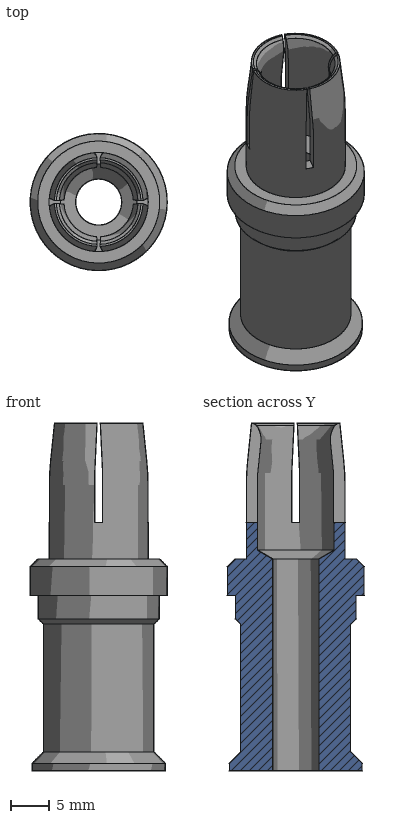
import cadquery as cq
import math

TOTAL_HEIGHT = 45.6
FOOT_RIM_HEIGHT = 1.0
SHOULDER_TOP = 23.0
COLLAR_TOP = 27.8
SLOT_FLOOR = 32.6
BEND_HEIGHT = 39.05

FOOT_RADIUS = 8.75
SHANK_RADIUS = 7.25
SHOULDER_RADIUS = 7.95
COLLAR_RADIUS = 9.0
SLEEVE_RADIUS = 6.5

COLLAR_CHAMFER = 1.0
SHOULDER_BOTTOM = 19.25
FOOT_CONE_TOP = FOOT_RIM_HEIGHT + FOOT_RADIUS - SHANK_RADIUS
SHOULDER_CONE_TOP = SHOULDER_BOTTOM + SHOULDER_RADIUS - SHANK_RADIUS

LEAN = math.radians(6.0)
BEND_RADIUS = 30.0

HOLE_RADIUS = 3.0
BORE_RADIUS = 5.0
BORE_FLOOR = COLLAR_TOP
SEAT_ANGLE = math.radians(30.0)
THROAT_HEIGHT = TOTAL_HEIGHT - 2.2
MOUTH_RADIUS = 5.55
MOUTH_CHAMFER_WIDTH = 0.4
MOUTH_CHAMFER_DEPTH = 0.3

SLOT_WIDTH = 1.0
SLOT_TIP_WIDTH = 0.4


def leaned_radius(base_radius, height):
    """Radius at a height above the bend of a wall that is straight below it."""
    return base_radius - (height - BEND_HEIGHT) * math.tan(LEAN)


def outer_body():
    """Solid of revolution: foot, shank, shoulder, collar and leaning sleeve."""
    bend_reach = BEND_RADIUS * math.tan(LEAN / 2)
    bend_start = BEND_HEIGHT - bend_reach
    bend_end = BEND_HEIGHT + bend_reach * math.cos(LEAN)
    bend_middle = (
        SLEEVE_RADIUS - BEND_RADIUS * (1 - math.cos(LEAN / 2)),
        bend_start + BEND_RADIUS * math.sin(LEAN / 2),
    )
    return (
        cq.Workplane("XZ")
        .moveTo(0, 0)
        .lineTo(FOOT_RADIUS, 0)
        .lineTo(FOOT_RADIUS, FOOT_RIM_HEIGHT)
        .lineTo(SHANK_RADIUS, FOOT_CONE_TOP)
        .lineTo(SHANK_RADIUS, SHOULDER_BOTTOM)
        .lineTo(SHOULDER_RADIUS, SHOULDER_CONE_TOP)
        .lineTo(SHOULDER_RADIUS, SHOULDER_TOP)
        .lineTo(COLLAR_RADIUS, SHOULDER_TOP)
        .lineTo(COLLAR_RADIUS, COLLAR_TOP - COLLAR_CHAMFER)
        .lineTo(COLLAR_RADIUS - COLLAR_CHAMFER, COLLAR_TOP)
        .lineTo(SLEEVE_RADIUS, COLLAR_TOP)
        .lineTo(SLEEVE_RADIUS, bend_start)
        .threePointArc(bend_middle, (leaned_radius(SLEEVE_RADIUS, bend_end), bend_end))
        .lineTo(leaned_radius(SLEEVE_RADIUS, TOTAL_HEIGHT), TOTAL_HEIGHT)
        .lineTo(0, TOTAL_HEIGHT)
        .close()
        .revolve(360, (0, 0, 0), (0, 1, 0))
    )


def bore():
    """Through hole, conical seat, straight bore, leaning fingers and flared mouth."""
    seat_top = BORE_FLOOR + (BORE_RADIUS - HOLE_RADIUS) * math.tan(SEAT_ANGLE)
    throat_radius = leaned_radius(BORE_RADIUS, THROAT_HEIGHT)
    flare_top = (MOUTH_RADIUS - MOUTH_CHAMFER_WIDTH, TOTAL_HEIGHT - MOUTH_CHAMFER_DEPTH)

    flare_width = flare_top[0] - throat_radius
    flare_rise = flare_top[1] - THROAT_HEIGHT
    flare_radius = (flare_width**2 + flare_rise**2) / (2 * flare_width)
    half_sweep = math.asin(flare_rise / flare_radius) / 2
    flare_middle = (
        throat_radius + flare_radius * (1 - math.cos(half_sweep)),
        THROAT_HEIGHT + flare_radius * math.sin(half_sweep),
    )
    return (
        cq.Workplane("XZ")
        .moveTo(0, 0)
        .lineTo(HOLE_RADIUS, 0)
        .lineTo(HOLE_RADIUS, BORE_FLOOR)
        .lineTo(BORE_RADIUS, seat_top)
        .lineTo(BORE_RADIUS, BEND_HEIGHT)
        .lineTo(throat_radius, THROAT_HEIGHT)
        .threePointArc(flare_middle, flare_top)
        .lineTo(MOUTH_RADIUS, TOTAL_HEIGHT)
        .lineTo(0, TOTAL_HEIGHT)
        .close()
        .revolve(360, (0, 0, 0), (0, 1, 0))
    )


def slot(plane):
    """Slot across the full sleeve, narrowing above the bend as the fingers lean in."""
    return (
        cq.Workplane(plane)
        .moveTo(-SLOT_WIDTH / 2, SLOT_FLOOR)
        .lineTo(SLOT_WIDTH / 2, SLOT_FLOOR)
        .lineTo(SLOT_WIDTH / 2, BEND_HEIGHT)
        .lineTo(SLOT_TIP_WIDTH / 2, TOTAL_HEIGHT)
        .lineTo(-SLOT_TIP_WIDTH / 2, TOTAL_HEIGHT)
        .lineTo(-SLOT_WIDTH / 2, BEND_HEIGHT)
        .close()
        .extrude(COLLAR_RADIUS, both=True)
    )


result = outer_body().cut(bore())
for slot_plane in ("XZ", "YZ"):
    result = result.cut(slot(slot_plane))